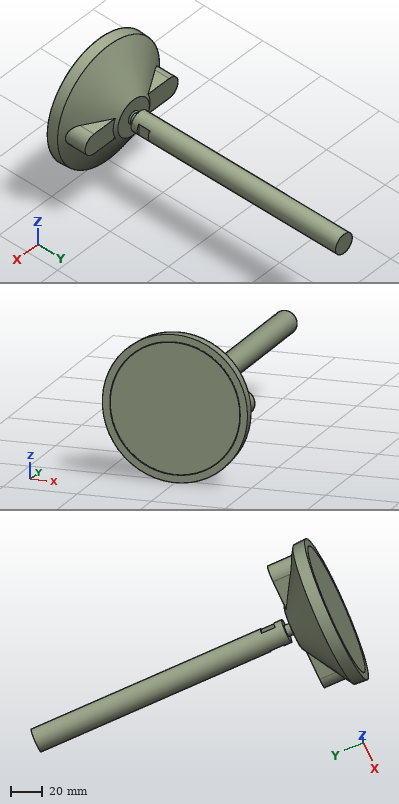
import cadquery as cq

total_length = 210.0

sole_diameter = 98.0
rim_top_diameter = 97.0
rim_height = 8.5
foot_top_diameter = 29.8
foot_height = 29.8

groove_outer_diameter = 88.0
groove_inner_diameter = 87.5
groove_depth = 1.0

lug_span = 88.2
lug_width = 16.8
lug_top = 28.1
lug_bottom = rim_height / 2

ball_diameter = 12.5
ball_center = 25.8
neck_diameter = 7.8
shaft_diameter = 16.0
shaft_start = 34.9

flats_distance = 13.0
flats_start = 40.1
flats_length = 9.5


def plane_at(y):
    """Workplane normal to Y (facing -Y) at the given height above the sole."""
    return cq.Workplane("XZ", origin=(0, y, 0))


def cylinder(diameter, start, end):
    """Cylinder on the part axis between two heights."""
    return plane_at(start).circle(diameter / 2).extrude(start - end)


def make_foot():
    """Turned rim and cone."""
    return (
        cq.Workplane("XY")
        .moveTo(0, 0)
        .lineTo(sole_diameter / 2, 0)
        .lineTo(rim_top_diameter / 2, rim_height)
        .lineTo(foot_top_diameter / 2, foot_height)
        .lineTo(0, foot_height)
        .close()
        .revolve(360, (0, 0, 0), (0, 1, 0))
    )


def make_lugs():
    """Bar with round ends, reaching down into the rim."""
    return plane_at(lug_bottom).slot2D(lug_span, lug_width).extrude(lug_bottom - lug_top)


def make_pad_groove():
    """Thin ring to cut into the sole."""
    outer = cylinder(groove_outer_diameter, 0, groove_depth)
    return outer.cut(cylinder(groove_inner_diameter, 0, groove_depth))


def make_shaft():
    """Ball, neck and shaft with two wrench flats."""
    ball = cq.Workplane("XY").sphere(ball_diameter / 2).translate((0, ball_center, 0))
    neck = cylinder(neck_diameter, ball_center, shaft_start)
    shaft = cylinder(shaft_diameter, shaft_start, total_length)
    for side in (-1, 1):
        cutter_x = side * (flats_distance + shaft_diameter) / 2
        cutter_y = flats_start + flats_length / 2
        cutter = cq.Workplane("XY").box(shaft_diameter, flats_length, shaft_diameter)
        shaft = shaft.cut(cutter.translate((cutter_x, cutter_y, 0)))
    return shaft.union(neck).union(ball)


result = make_foot().union(make_lugs()).union(make_shaft()).cut(make_pad_groove())